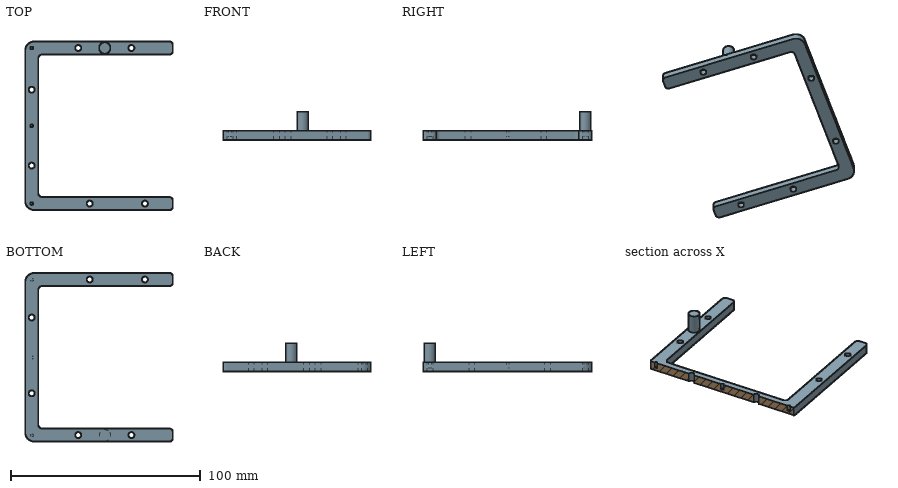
import cadquery as cq

length_x = 78.0
length_y = 89.0
total_height = 15.0
plate_thickness = 5.0
bar_width = 7.0

outer_corner_radius = 5.0
inner_corner_radius = 2.0
tip_corner_radius = 2.0

pin_diameter = 6.0
pin_x = 42.0

screw_hole_diameter = 3.0
rear_hole_xs = (28.0, 56.1)
front_hole_xs = (34.1, 63.2)
spine_hole_spacing = 40.0
spine_hole_offset = -1.0

small_hole_diameter = 1.5
small_hole_depth = 3.0

spine_x = bar_width / 2
front_y = bar_width / 2
rear_y = length_y - bar_width / 2
middle_y = length_y / 2
spine_holes_middle_y = middle_y + spine_hole_offset


def make_frame():
    """U-shaped plate with rounded corners and arm tips."""
    outer = cq.Workplane("XY").box(length_x, length_y, plate_thickness, centered=False)
    outer = outer.edges("|Z and <X").fillet(outer_corner_radius)
    opening = (
        cq.Workplane("XY")
        .box(length_x, length_y - 2 * bar_width, plate_thickness, centered=False)
        .translate((bar_width, bar_width, 0))
        .edges("|Z and <X")
        .fillet(inner_corner_radius)
    )
    return outer.cut(opening).edges("|Z and >X").fillet(tip_corner_radius)


def make_holes(centers, diameter, depth):
    """Cylinders reaching down from the top face of the plate."""
    top_face = cq.Workplane("XY").workplane(offset=plate_thickness)
    return top_face.pushPoints(centers).circle(diameter / 2).extrude(-depth)


def make_pin():
    """Pin rising from the underside of the plate to the full height."""
    return cq.Workplane("XY").center(pin_x, rear_y).circle(pin_diameter / 2).extrude(total_height)


screw_centers = [(x, rear_y) for x in rear_hole_xs]
screw_centers += [(x, front_y) for x in front_hole_xs]
screw_centers += [(spine_x, spine_holes_middle_y + side * spine_hole_spacing / 2) for side in (-1, 1)]
small_centers = [(spine_x, y) for y in (front_y, middle_y, rear_y)]

result = (
    make_frame()
    .union(make_pin())
    .cut(make_holes(screw_centers, screw_hole_diameter, plate_thickness))
    .cut(make_holes(small_centers, small_hole_diameter, small_hole_depth))
)